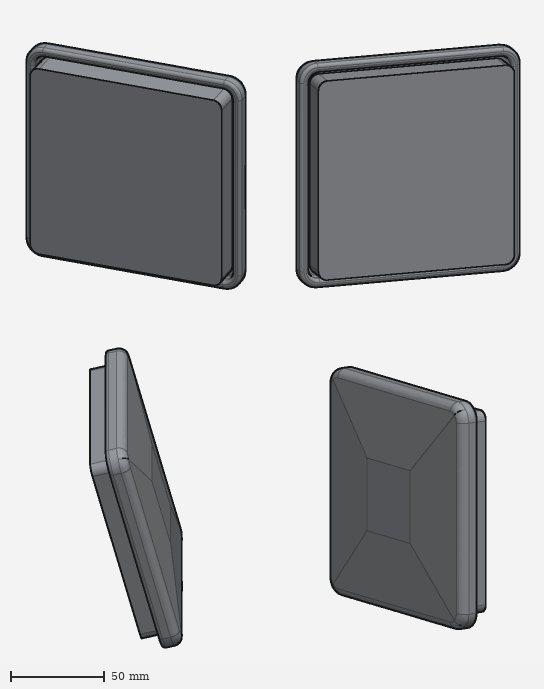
import cadquery as cq

overall_depth = 25.0

plate_side = 125.0
plate_corner_radius = 10.0
back_edge_radius = 5.0
front_edge_radius = 2.0

block_side = 111.0
block_corner_radius = 5.0
block_projection = 10.0

rim_thickness = 5.0
groove_corner_radius = 6.0
groove_depth = 5.0
groove_floor_radius = 1.0

plate_depth = overall_depth - block_projection
dome_top_side = 40.0
dome_height = 4.0
dome_start = plate_depth - dome_height


def rounded_square(side, corner_radius, y_start, y_end):
    """Square prism centred on the Y axis, with rounded corners, from y_start to y_end."""
    return (
        cq.Workplane("XZ", origin=(0, y_start, 0))
        .rect(side, side)
        .extrude(y_start - y_end)
        .edges("|Y")
        .fillet(corner_radius)
    )


def make_plate():
    """Straight-sided plate whose back rises in four flat slopes to a square top, with a rounded outer edge."""
    straight_part = cq.Workplane("XZ").rect(plate_side, plate_side).extrude(-dome_start)
    dome = (
        cq.Workplane("XZ", origin=(0, dome_start, 0))
        .rect(plate_side, plate_side)
        .workplane(offset=-dome_height)
        .rect(dome_top_side, dome_top_side)
        .loft(combine=True)
    )
    plate = straight_part.union(dome).edges("|Y").fillet(plate_corner_radius)
    side_faces = plate.faces("<X or >X or <Z or >Z")
    return side_faces.edges("(|X or |Z) and (not <Y)").fillet(back_edge_radius)


def cut_groove(plate):
    """Sink the front of the plate, leaving a rim that is rounded on its inner and outer edges."""
    groove_side = plate_side - 2 * rim_thickness
    pocket = rounded_square(groove_side, groove_corner_radius, 0, groove_depth)
    pocket = pocket.faces(">Y").edges().fillet(groove_floor_radius)
    return plate.cut(pocket).faces("<Y").edges().fillet(front_edge_radius)


def make_block():
    return rounded_square(block_side, block_corner_radius, -block_projection, groove_depth)


result = cut_groove(make_plate()).union(make_block())